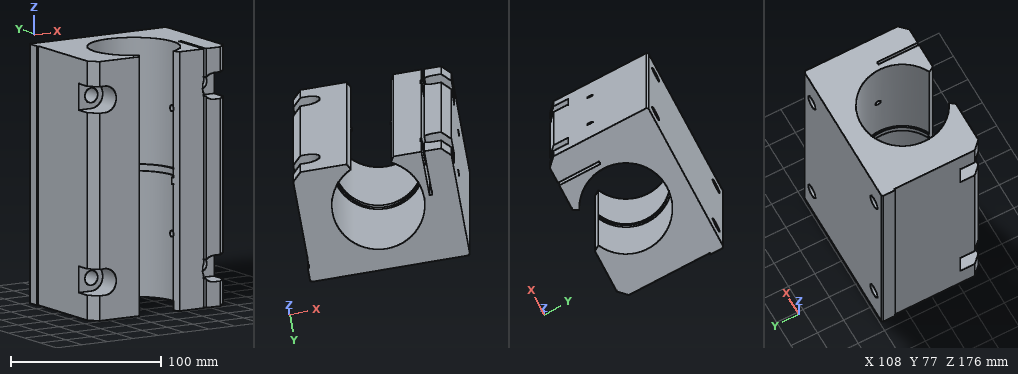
import cadquery as cq
import math

length = 176.0
width = 108.0
depth = 77.0
bore_to_front = 31.9
front_y = -bore_to_front
back_y = front_y + depth
right_x = width / 2
left_x = -width / 2

ledge_step = 1.0
ledge_height = 10.0
back_chamfer = 1.0
front_chamfer = 6.0

bore_radius = 31.0
ring_radius = 29.7
ring_length = 4.5

mouth_half_width = 15.8
mouth_half_angle = math.radians(30)

slit_x = 35.7
slit_width = 2.0
slit_depth = 31.0

mount_x = 43.0
mount_z = 62.0
mount_diameter = 10.0
pocket_diameter = 18.0
pocket_depth = 16.9

cross_hole_diameter = 4.2
cross_hole_y = 1.5
cross_hole_z = 42.6


def make_block():
    """Extrude the outline, with a shallow ledge along the left back edge."""
    body_left_x = left_x + ledge_step
    outline = [
        (left_x + back_chamfer, back_y),
        (right_x - back_chamfer, back_y),
        (right_x, back_y - back_chamfer),
        (right_x, front_y + front_chamfer),
        (right_x - front_chamfer, front_y),
        (body_left_x + front_chamfer, front_y),
        (body_left_x, front_y + front_chamfer),
        (body_left_x, back_y - ledge_height),
        (left_x, back_y - ledge_height),
        (left_x, back_y - back_chamfer),
    ]
    return cq.Workplane("XY").polyline(outline).close().extrude(length / 2, both=True)


def make_bore():
    """Full-length bore, narrowed by the shoulder ring at the middle."""
    bore = cq.Workplane("XY").circle(bore_radius).extrude(length / 2, both=True)
    ring = (
        cq.Workplane("XY")
        .circle(bore_radius)
        .circle(ring_radius)
        .extrude(ring_length / 2, both=True)
    )
    return bore.cut(ring)


def make_mouth():
    """Wedge that opens the bore to the front and widens outwards."""
    apex_y = front_y + mouth_half_width / math.tan(mouth_half_angle)
    wedge = [
        (0, apex_y),
        (mouth_half_width, front_y),
        (-mouth_half_width, front_y),
    ]
    return cq.Workplane("XY").polyline(wedge).close().extrude(length / 2, both=True)


def make_slit():
    return cq.Workplane("XY").box(slit_width, slit_depth, length).translate(
        (slit_x, front_y + slit_depth / 2, 0)
    )


def make_mount(side, z):
    """Through hole along Y with a round-ended pocket that runs out of the given side (+1 or -1)."""
    front_plane = cq.Workplane("XZ", origin=(side * mount_x, front_y, z))
    hole = front_plane.circle(mount_diameter / 2).extrude(-depth)
    round_end = front_plane.circle(pocket_diameter / 2).extrude(-pocket_depth)
    run_out = right_x - mount_x
    channel = (
        front_plane.center(side * run_out / 2, 0)
        .rect(run_out, pocket_diameter)
        .extrude(-pocket_depth)
    )
    return hole.union(round_end).union(channel)


def make_cross_hole(z):
    return (
        cq.Workplane("YZ", origin=(0, cross_hole_y, z))
        .circle(cross_hole_diameter / 2)
        .extrude(right_x)
    )


result = make_block().cut(make_bore()).cut(make_mouth()).cut(make_slit())
for z_sign in (1, -1):
    result = result.cut(make_cross_hole(z_sign * cross_hole_z))
    for side in (1, -1):
        result = result.cut(make_mount(side, z_sign * mount_z))